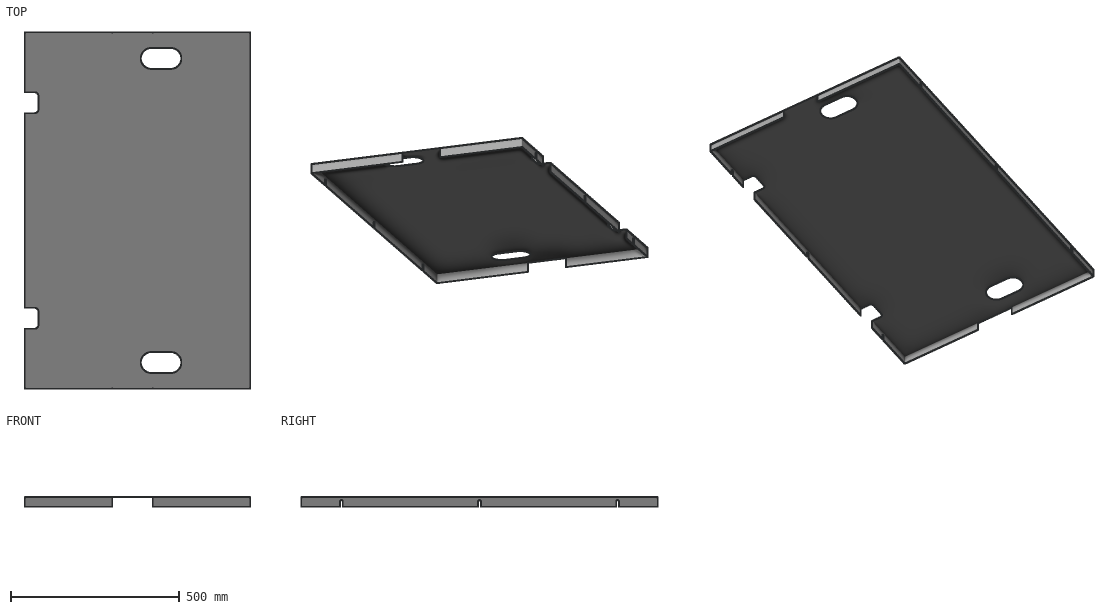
import cadquery as cq

length = 1060.0
width = 670.0
height = 30.0
sheet = 1.5
bend_radius = 2.0

hand_slot_length = 120.0
hand_slot_width = 61.0
hand_slot_x = 70.0
hand_slot_end_distance = 78.0
hand_slot_y = length / 2 - hand_slot_end_distance

end_gap_width = 120.0
end_gap_x = -15.0

notch_width = 61.0
notch_depth = 40.0
notch_corner_radius = 11.0
notch_y = 320.0

wall_slot_width = 8.0
wall_slot_height = 20.0
wall_slot_y = 410.0


def make_tray():
    """Hollow tray, open at the bottom, with rounded outer and inner bends."""
    outer = cq.Workplane("XY").box(width, length, height, centered=(True, True, False))
    outer = outer.edges("|Z or >Z").fillet(bend_radius)
    inner = cq.Workplane("XY").box(
        width - 2 * sheet, length - 2 * sheet, height - sheet, centered=(True, True, False)
    )
    inner = inner.edges("|Z or >Z").fillet(bend_radius - sheet)
    return outer.cut(inner)


def hand_slots():
    centres = [(hand_slot_x, -hand_slot_y), (hand_slot_x, hand_slot_y)]
    slots = cq.Workplane("XY").pushPoints(centres).slot2D(hand_slot_length, hand_slot_width)
    return slots.extrude(height)


def end_gaps():
    """One block that removes a stretch of both end walls up to the underside of the panel."""
    gap = cq.Workplane("XY").box(
        end_gap_width, length, height - sheet, centered=(True, True, False)
    )
    return gap.translate((end_gap_x, 0, 0))


def edge_notch(y):
    """Notch centred on the -X edge line, so that half of its block lies outside the tray."""
    notch = cq.Workplane("XY").box(2 * notch_depth, notch_width, height, centered=(True, True, False))
    notch = notch.edges("|Z").fillet(notch_corner_radius)
    return notch.translate((-width / 2, y, 0))


def wall_slot(y):
    """Slot that runs across the full width, cutting both long walls."""
    radius = wall_slot_width / 2
    shoulder = wall_slot_height - radius
    profile = (
        cq.Workplane("YZ", origin=(-width / 2, y, 0))
        .moveTo(-radius, 0)
        .lineTo(-radius, shoulder)
        .threePointArc((0, wall_slot_height), (radius, shoulder))
        .lineTo(radius, 0)
        .close()
    )
    return profile.extrude(width)


result = make_tray().cut(hand_slots()).cut(end_gaps())

for y in (-notch_y, notch_y):
    result = result.cut(edge_notch(y))

for y in (-wall_slot_y, 0, wall_slot_y):
    result = result.cut(wall_slot(y))